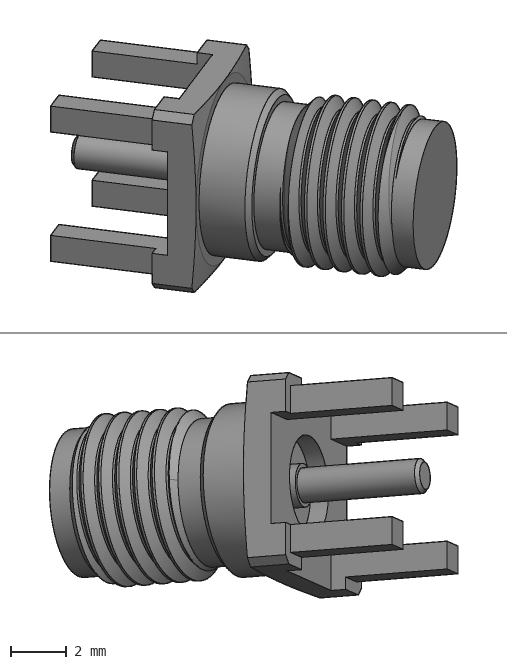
import math

import cadquery as cq


total_length = 13.5
flange_width = 7.0

leg_length = 3.95
leg_size = 1.02
leg_spacing = 5.08
pad_height = 0.57

flange_thickness = 1.65
flange_corner_chamfer = 0.29
flange_bevel_angle = 7.2

body_radius = 3.13
body_end = 3.57
body_chamfer = 0.2
core_radius = 2.68

thread_start = 4.54
thread_end = 8.76
thread_radius = body_radius
thread_pitch = 0.695
thread_crest_width = 0.09
thread_flank_angle = 30.0
thread_crest_position = 5.135
thread_root_overlap = 0.03

pin_radius = 0.635
pin_chamfer = 0.14
bore_radius = 1.8
bore_depth = 0.7
collar_radius = 0.79
collar_length = 0.5

barrel_end = total_length - leg_length
pad_inner_edge = (leg_spacing - leg_size) / 2
bore_floor = pad_height + bore_depth


def cylinder_x(radius, start, end):
    """Cylinder along X from start to end."""
    return cq.Workplane("YZ", origin=(start, 0, 0)).circle(radius).extrude(end - start)


def revolve_x(points):
    """Solid of revolution about X from (x, radius) points."""
    return cq.Workplane("XY").polyline(points).close().revolve(360, (0, 0, 0), (1, 0, 0))


def make_flange():
    """Square flange with chamfered corners and a shallow turned bevel on its front face."""
    plate = (
        cq.Workplane("YZ")
        .rect(flange_width, flange_width)
        .extrude(flange_thickness)
        .edges("|X")
        .chamfer(flange_corner_chamfer)
    )
    bevel_start_radius = flange_width / 2
    outer_radius = flange_width / math.sqrt(2)
    bevel_drop = (outer_radius - bevel_start_radius) * math.tan(math.radians(flange_bevel_angle))
    bevel_envelope = revolve_x([
        (0, 0),
        (0, outer_radius),
        (flange_thickness - bevel_drop, outer_radius),
        (flange_thickness, bevel_start_radius),
        (flange_thickness, 0),
    ])
    flange = plate.intersect(bevel_envelope)

    relief_width = 2 * pad_inner_edge
    for size_y, size_z in ((relief_width, flange_width), (flange_width, relief_width)):
        relief = cq.Workplane("YZ").rect(size_y, size_z).extrude(pad_height)
        flange = flange.cut(relief)
    return flange


def make_legs():
    """Four square legs, running from the relief face of the flange to the board side."""
    return (
        cq.Workplane("YZ", origin=(-leg_length, 0, 0))
        .rarray(leg_spacing, leg_spacing, 2, 2)
        .rect(leg_size, leg_size)
        .extrude(leg_length + pad_height)
    )


def make_barrel():
    """Chamfered body followed by the plain core that carries the thread."""
    body = cylinder_x(body_radius, flange_thickness, body_end).faces(">X").chamfer(body_chamfer)
    core = cylinder_x(core_radius, flange_thickness, barrel_end)
    return body.union(core)


def make_thread():
    """Right-hand V ridge with a narrow flat crest, trimmed at both ends by 45 degree cones."""
    root_radius = core_radius - thread_root_overlap
    flank_slope = math.tan(math.radians(thread_flank_angle))
    half_crest = thread_crest_width / 2
    half_root = half_crest + (thread_radius - root_radius) * flank_slope

    lead_in_turns = 2
    run_out_turns = 1
    helix_start = thread_crest_position - lead_in_turns * thread_pitch
    turns = math.ceil((thread_end - helix_start) / thread_pitch) + run_out_turns
    helix = cq.Wire.makeHelix(thread_pitch, turns * thread_pitch, root_radius)
    ridge = (
        cq.Workplane("XZ")
        .polyline([
            (root_radius, -half_root),
            (thread_radius, -half_crest),
            (thread_radius, half_crest),
            (root_radius, half_root),
        ])
        .close()
        .sweep(cq.Workplane(helix), isFrenet=True)
        .rotate((0, 0, 0), (0, 1, 0), 90)
        .translate((helix_start, 0, 0))
    )

    half_length = (thread_end - thread_start) / 2
    double_cone = revolve_x([
        (thread_start, 0),
        (thread_start, core_radius),
        (thread_start + half_length, core_radius + half_length),
        (thread_end, core_radius),
        (thread_end, 0),
    ])
    return ridge.intersect(double_cone)


def cut_bore(part):
    """Blind bore in the relief face."""
    return part.cut(cylinder_x(bore_radius, pad_height, bore_floor))


def make_pin():
    """Contact pin on the bore floor: collar at its root, chamfered tip level with the leg ends."""
    pin = cylinder_x(pin_radius, -leg_length, bore_floor).faces("<X").chamfer(pin_chamfer)
    collar = cylinder_x(collar_radius, bore_floor - collar_length, bore_floor)
    return pin.union(collar)


shell = make_flange().union(make_legs()).union(make_barrel()).union(make_thread())
result = cut_bore(shell).union(make_pin())